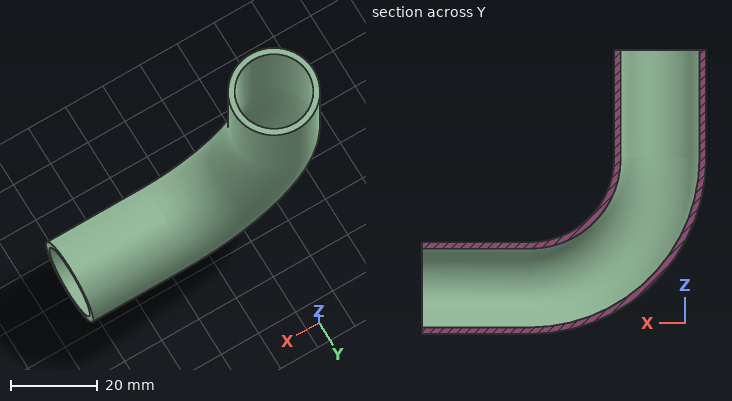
import cadquery as cq

overall_length = 65.65
outer_diameter = 21.3
wall_thickness = 1.6
straight_length = 25.0

outer_radius = outer_diameter / 2
inner_radius = outer_radius - wall_thickness
bend_radius = overall_length - straight_length - outer_radius


def tube_section(plane):
    """Ring-shaped cross-section of the tube, centred on the plane's origin."""
    return cq.Workplane(plane).circle(outer_radius).circle(inner_radius)


vertical_leg = tube_section("XY").extrude(straight_length).translate((0, 0, bend_radius))

horizontal_leg = tube_section("YZ").extrude(straight_length).translate((bend_radius, 0, 0))

bend = (
    tube_section("XY")
    .revolve(90, (bend_radius, 0, 0), (bend_radius, -1, 0))
    .translate((0, 0, bend_radius))
)

result = vertical_leg.union(bend).union(horizontal_leg)